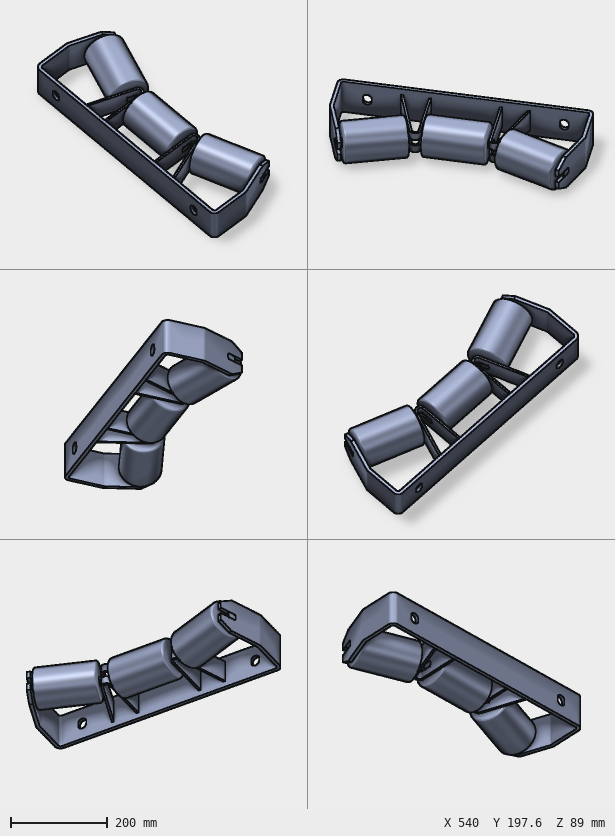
import cadquery as cq
import math

frame_width = 540.0
frame_strip = 80.0
frame_thickness = 8.0
bend_radius = 13.5
side_height = 88.0
arm_top = 190.0
arm_chamfer_length = 28.5
arm_chamfer_depth = 16.0
trough_angle = 20.0

mount_slot_x = 208.0
mount_slot_width = 19.0
mount_slot_length = 25.5

roller_diameter = 89.0
roller_length = 135.0
roller_fillet = 5.0
shaft_diameter = 20.0
flat_width = 14.0
flat_start = 4.0
roller_gap = 5.0
middle_axis_y = 101.0
side_axis_along = 68.5

slot_clearance = 108.0

bracket_strip = 50.0
bracket_thickness = 5.0
fold_radius = 12.0
fold_y = 117.0

tilt_cos = math.cos(math.radians(trough_angle))
tilt_sin = math.sin(math.radians(trough_angle))
support_distance = roller_length / 2 + roller_gap
bracket_reach = support_distance + bracket_thickness
fold_x = support_distance + fold_radius
fold_inner_radius = fold_radius - bracket_thickness
bend_x = frame_width / 2 - bend_radius
bend_inner_radius = bend_radius - frame_thickness


def tilted(distance, along):
    """XY point given along the right arm's outward normal and along the arm itself."""
    return (distance * tilt_cos - along * tilt_sin, distance * tilt_sin + along * tilt_cos)


def distance_along_normal(x, y):
    return x * tilt_cos + y * tilt_sin


def on_circle(center_x, center_y, radius, degrees):
    angle = math.radians(degrees)
    return (center_x + radius * math.cos(angle), center_y + radius * math.sin(angle))


fold_distance = distance_along_normal(fold_x, fold_y)
side_distance = fold_distance + fold_radius + support_distance
arm_outer = distance_along_normal(bend_x, side_height) + bend_radius
arm_inner = arm_outer - frame_thickness
arm_end = (arm_top - arm_outer * tilt_sin) / tilt_cos
arm_reach = arm_outer - side_distance


def mirrored(shape):
    return shape.mirror("YZ")


def tilt_in_place(shape, distance, along):
    """Tilt a shape lying along X and move its origin to a point of the right arm."""
    return shape.rotate((0, 0, 0), (0, 0, 1), trough_angle).translate((*tilted(distance, along), 0))


def shaft_slot_cutter(depth):
    bottom = cq.Workplane("YZ").circle(shaft_diameter / 2).extrude(depth)
    opening = cq.Workplane("XY").box(depth, slot_clearance, shaft_diameter, centered=(False, False, True))
    width_limit = cq.Workplane("XY").box(depth, 2 * slot_clearance, flat_width, centered=(False, True, True))
    return bottom.union(opening).intersect(width_limit)


def frame_half():
    strip = (
        cq.Workplane("XY")
        .moveTo(0, 0)
        .lineTo(bend_x, 0)
        .threePointArc(on_circle(bend_x, bend_radius, bend_radius, -45), (frame_width / 2, bend_radius))
        .lineTo(frame_width / 2, side_height)
        .threePointArc(
            on_circle(bend_x, side_height, bend_radius, trough_angle / 2),
            on_circle(bend_x, side_height, bend_radius, trough_angle),
        )
        .lineTo(*tilted(arm_outer, arm_end))
        .lineTo(*tilted(arm_inner, arm_end))
        .lineTo(*on_circle(bend_x, side_height, bend_inner_radius, trough_angle))
        .threePointArc(
            on_circle(bend_x, side_height, bend_inner_radius, trough_angle / 2),
            (bend_x + bend_inner_radius, side_height),
        )
        .lineTo(bend_x + bend_inner_radius, bend_radius)
        .threePointArc(
            on_circle(bend_x, bend_radius, bend_inner_radius, -45),
            (bend_x, frame_thickness),
        )
        .lineTo(0, frame_thickness)
        .close()
        .extrude(frame_strip / 2, both=True)
    )
    arm_slot = tilt_in_place(shaft_slot_cutter(frame_thickness), arm_inner, side_axis_along)
    return strip.cut(arm_slot).cut(arm_corner_cutter()).cut(mount_slot_cutter())


def arm_corner_cutter():
    corner = (
        cq.Workplane("YZ")
        .polyline([
            (0, frame_strip / 2 - arm_chamfer_depth),
            (0, frame_strip / 2),
            (-arm_chamfer_length, frame_strip / 2),
        ])
        .close()
        .extrude(frame_thickness)
    )
    return tilt_in_place(corner.union(corner.mirror("XY")), arm_inner, arm_end)


def mount_slot_cutter():
    return (
        cq.Workplane("XZ", origin=(mount_slot_x, frame_thickness, 0))
        .slot2D(mount_slot_length, mount_slot_width, 90)
        .extrude(frame_thickness)
    )


def make_frame():
    half = frame_half()
    return half.union(mirrored(half))


def make_bracket():
    fold_middle = (180 + trough_angle) / 2
    outer_foot = (fold_distance + fold_radius - frame_thickness * tilt_sin) / tilt_cos
    inner_foot = (fold_distance + fold_inner_radius - frame_thickness * tilt_sin) / tilt_cos
    strip = (
        cq.Workplane("XY")
        .moveTo(support_distance, frame_thickness)
        .lineTo(support_distance, fold_y)
        .threePointArc(
            on_circle(fold_x, fold_y, fold_radius, fold_middle),
            on_circle(fold_x, fold_y, fold_radius, trough_angle),
        )
        .lineTo(outer_foot, frame_thickness)
        .lineTo(inner_foot, frame_thickness)
        .lineTo(*on_circle(fold_x, fold_y, fold_inner_radius, trough_angle))
        .threePointArc(
            on_circle(fold_x, fold_y, fold_inner_radius, fold_middle),
            (bracket_reach, fold_y),
        )
        .lineTo(bracket_reach, frame_thickness)
        .close()
        .extrude(bracket_strip / 2, both=True)
    )
    upright_slot = shaft_slot_cutter(fold_radius).translate((support_distance, middle_axis_y, 0))
    tilted_slot = tilt_in_place(shaft_slot_cutter(fold_radius), fold_distance, side_axis_along)
    return strip.cut(upright_slot).cut(tilted_slot)


def make_roller(left_reach, right_reach):
    barrel = (
        cq.Workplane("YZ", origin=(-roller_length / 2, 0, 0))
        .circle(roller_diameter / 2)
        .extrude(roller_length)
        .edges("%CIRCLE")
        .fillet(roller_fillet)
    )
    shoulder = roller_length / 2 + flat_start
    shaft = cq.Workplane("YZ", origin=(-shoulder, 0, 0)).circle(shaft_diameter / 2).extrude(2 * shoulder)
    flatted_shaft = (
        cq.Workplane("YZ", origin=(-left_reach, 0, 0))
        .circle(shaft_diameter / 2)
        .extrude(left_reach + right_reach)
        .intersect(cq.Workplane("XY").box(2 * roller_length, shaft_diameter, flat_width))
    )
    return barrel.union(shaft).union(flatted_shaft)


frame = make_frame()

right_bracket = make_bracket()
brackets = [right_bracket, mirrored(right_bracket)]

middle_roller = make_roller(bracket_reach, bracket_reach).translate((0, middle_axis_y, 0))
right_roller = tilt_in_place(make_roller(bracket_reach, arm_reach), side_distance, side_axis_along)
rollers = [middle_roller, right_roller, mirrored(right_roller)]

result = cq.Compound.makeCompound([body.val() for body in [frame, *brackets, *rollers]])